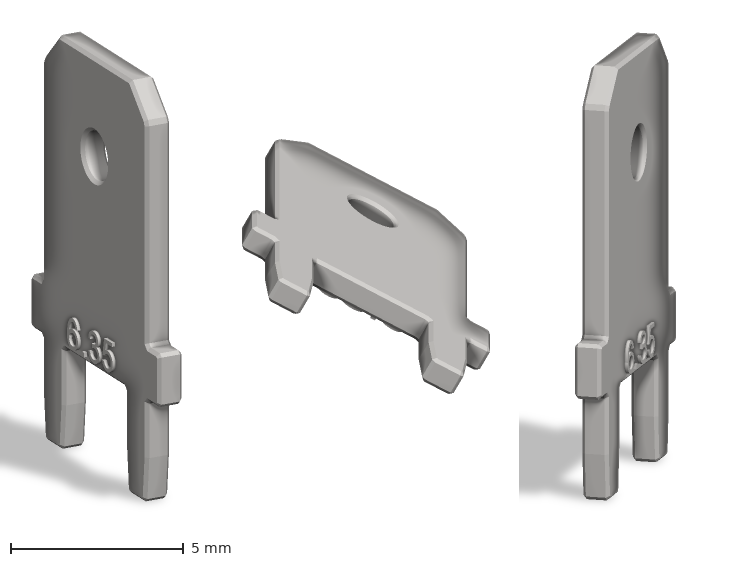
import cadquery as cq
import math

TAB_HEIGHT = 12.71
TAB_THICKNESS = 0.8
BLADE_WIDTH = 6.35
TOP_CORNER = 1.0
EDGE_BEVEL = 0.1

SHOULDER_WIDTH = 7.87
SHOULDER_BOTTOM = 3.18
SHOULDER_TOP = 4.83

LEG_WIDTH = 1.27
LEG_TAPER_HEIGHT = 1.4
LEG_TAPER = 0.11

HOLE_DIAMETER = 1.5
HOLE_Z = 9.69

CHARACTER_RAISE = 0.1
CHARACTER_HEIGHT = 0.98
CHARACTER_BASE_Z = 3.38
STROKE = 0.11
DOT_SIZE = 0.14
SIX_X = -1.47
DOT_X = -0.57
THREE_X = -0.18
FIVE_X = 0.66
SIX_WIDTH = 0.66
SIX_BOWL_HEIGHT = 0.64
SIX_HOOK_END = 0.69
THREE_WIDTH = 0.67
THREE_UPPER_WIDTH = 0.6
THREE_WAIST = 0.58
THREE_GAP_BOTTOM = 0.29
THREE_GAP_TOP = 0.69
GAP_DEPTH = 0.23
FIVE_WIDTH = 0.65
FIVE_BOWL_HEIGHT = 0.66
FIVE_GAP_BOTTOM = 0.28
FIVE_GAP_TOP = 0.45
FIVE_STEM_FOOT = 0.03
FIVE_STEM_TOP = 0.13
FIVE_BAR_END = 0.61

FRONT_Y = -TAB_THICKNESS / 2


def right_half_outline():
    """Corner points of the right half of the tab, from the crotch up to the top centre."""
    blade = BLADE_WIDTH / 2
    shoulder = SHOULDER_WIDTH / 2
    leg_inner = blade - LEG_WIDTH
    b = EDGE_BEVEL
    slope_step = b * math.cos(math.radians(45))
    cut_foot = TAB_HEIGHT - TOP_CORNER
    return [
        (leg_inner - b, SHOULDER_BOTTOM),
        (leg_inner, SHOULDER_BOTTOM - b),
        (leg_inner, LEG_TAPER_HEIGHT),
        (leg_inner + LEG_TAPER, b),
        (leg_inner + LEG_TAPER + b, 0),
        (blade - LEG_TAPER - b, 0),
        (blade - LEG_TAPER, b),
        (blade, LEG_TAPER_HEIGHT),
        (blade, SHOULDER_BOTTOM - b),
        (blade + b, SHOULDER_BOTTOM),
        (shoulder - b, SHOULDER_BOTTOM),
        (shoulder, SHOULDER_BOTTOM + b),
        (shoulder, SHOULDER_TOP - b),
        (shoulder - b, SHOULDER_TOP),
        (blade + b, SHOULDER_TOP),
        (blade, SHOULDER_TOP + b),
        (blade, cut_foot - b),
        (blade - slope_step, cut_foot + slope_step),
        (blade - TOP_CORNER, TAB_HEIGHT),
    ]


def make_tab():
    right = right_half_outline()
    left = [(-x, z) for x, z in reversed(right)]
    plate = (
        cq.Workplane("XZ", origin=(0, TAB_THICKNESS / 2, 0))
        .polyline(right + left)
        .close()
        .extrude(TAB_THICKNESS)
    )
    hole = (
        cq.Workplane("XZ", origin=(0, TAB_THICKNESS / 2, 0))
        .center(0, HOLE_Z)
        .circle(HOLE_DIAMETER / 2)
        .extrude(TAB_THICKNESS)
    )
    return plate.cut(hole).faces("<Y or >Y").chamfer(EDGE_BEVEL)


def character_plane(left_x):
    """Front face of the tab, with the lower left corner of a character as origin."""
    return cq.Workplane("XZ", origin=(left_x, FRONT_Y, CHARACTER_BASE_Z))


def block(left_x, x_range, z_range):
    """Raised rectangle between two X and two Z limits of a character."""
    x0, x1 = x_range
    z0, z1 = z_range
    return (
        character_plane(left_x)
        .center((x0 + x1) / 2, (z0 + z1) / 2)
        .rect(x1 - x0, z1 - z0)
        .extrude(CHARACTER_RAISE)
    )


def bowl(left_x, width, bottom, top):
    """Raised elliptical ring, one stroke wide, starting at the left end of a character."""
    half_width = width / 2
    half_height = (top - bottom) / 2
    return (
        character_plane(left_x)
        .center(half_width, bottom + half_height)
        .ellipse(half_width, half_height)
        .ellipse(half_width - STROKE, half_height - STROKE)
        .extrude(CHARACTER_RAISE)
    )


def make_six():
    below_hook = block(SIX_X, (SIX_WIDTH / 2, SIX_WIDTH), (0, SIX_HOOK_END))
    below_bowl_middle = block(SIX_X, (0, SIX_WIDTH), (0, SIX_BOWL_HEIGHT / 2))
    hook = bowl(SIX_X, SIX_WIDTH, 0, CHARACTER_HEIGHT).cut(below_hook).cut(below_bowl_middle)
    return bowl(SIX_X, SIX_WIDTH, 0, SIX_BOWL_HEIGHT).union(hook)


def make_dot():
    return block(DOT_X, (0, DOT_SIZE), (0, DOT_SIZE))


def make_three():
    lower = bowl(THREE_X, THREE_WIDTH, 0, THREE_WAIST)
    upper = bowl(THREE_X, THREE_UPPER_WIDTH, THREE_WAIST - STROKE, CHARACTER_HEIGHT)
    opening = block(THREE_X, (0, GAP_DEPTH), (THREE_GAP_BOTTOM, THREE_GAP_TOP))
    return lower.union(upper).cut(opening)


def make_five():
    opening = block(FIVE_X, (0, GAP_DEPTH), (FIVE_GAP_BOTTOM, FIVE_GAP_TOP))
    open_bowl = bowl(FIVE_X, FIVE_WIDTH, 0, FIVE_BOWL_HEIGHT).cut(opening)
    stem_and_bar = (
        character_plane(FIVE_X)
        .polyline([
            (FIVE_STEM_FOOT, FIVE_GAP_TOP),
            (FIVE_STEM_TOP, CHARACTER_HEIGHT),
            (FIVE_BAR_END, CHARACTER_HEIGHT),
            (FIVE_BAR_END, CHARACTER_HEIGHT - STROKE),
            (FIVE_STEM_TOP + STROKE, CHARACTER_HEIGHT - STROKE),
            (FIVE_STEM_FOOT + STROKE, FIVE_GAP_TOP),
        ])
        .close()
        .extrude(CHARACTER_RAISE)
    )
    return open_bowl.union(stem_and_bar)


tab = make_tab()
six = make_six()
dot = make_dot()
three = make_three()
five = make_five()

bodies = [body.solids().val() for body in (tab, six, dot, three, five)]
result = cq.Compound.makeCompound(bodies)